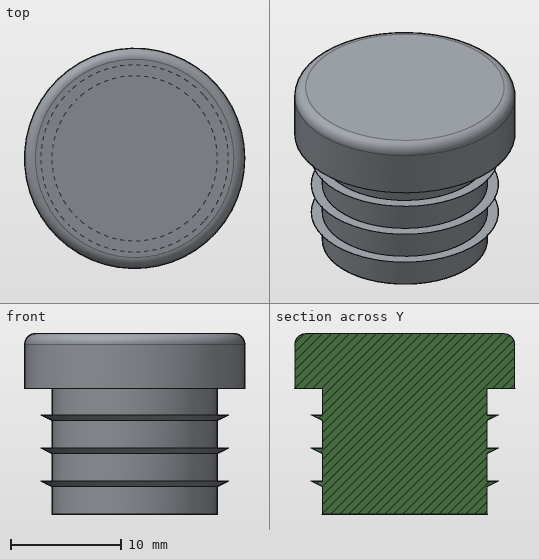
import cadquery as cq

head_diameter = 20
head_height = 5
head_edge_radius = 1

shank_diameter = 15
shank_length = 11.4

fin_diameter = 17
fin_height = 0.5
fin_count = 3
fin_spacing = 3
lowest_fin_top = 3


def make_head():
    head = cq.Workplane("XY").workplane(offset=shank_length).circle(head_diameter / 2).extrude(head_height)
    return head.faces(">Z").edges().fillet(head_edge_radius)


def make_shank():
    return cq.Workplane("XY").circle(shank_diameter / 2).extrude(shank_length)


def make_fin(top):
    """Conical fin around the Z axis, with its flat face at height top."""
    bottom = top - fin_height
    profile = (
        cq.Workplane("XZ")
        .moveTo(0, bottom)
        .lineTo(shank_diameter / 2, bottom)
        .lineTo(fin_diameter / 2, top)
        .lineTo(0, top)
        .close()
    )
    return profile.revolve(360, (0, 0, 0), (0, 1, 0))


result = make_shank().union(make_head())
for fin_index in range(fin_count):
    result = result.union(make_fin(lowest_fin_top + fin_index * fin_spacing))